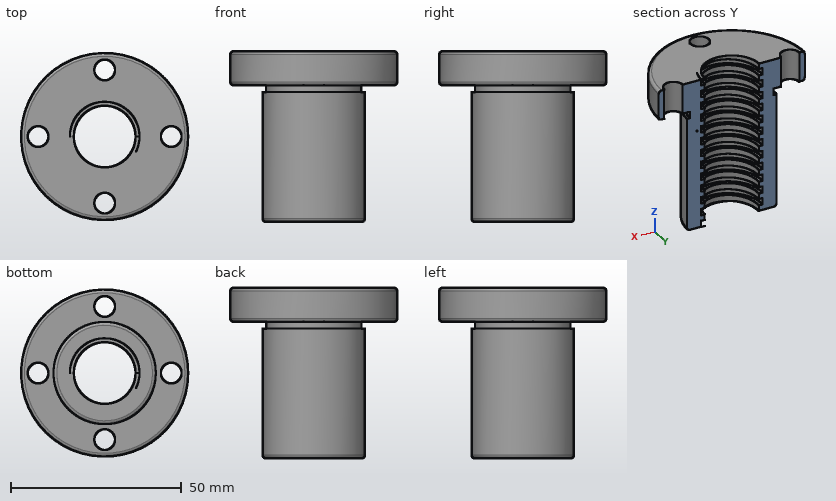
import cadquery as cq

total_height = 50.0
flange_diameter = 49.0
flange_thickness = 10.0
body_diameter = 30.0
neck_diameter = 28.0
neck_height = 2.0
edge_radius = 1.0

mount_hole_count = 4
mount_hole_diameter = 6.0
mount_circle_diameter = 39.0

bore_diameter = 18.0
thread_root_diameter = 20.4
thread_pitch = 4.0
groove_width = thread_pitch / 2
cutter_overlap = 0.5

flange_bottom = total_height - flange_thickness
body_height = flange_bottom - neck_height


def cylinder(diameter, height, bottom):
    return cq.Workplane("XY").workplane(offset=bottom).circle(diameter / 2).extrude(height)


def make_blank():
    """Body, relief neck and flange, with rounded body and flange rims."""
    body = cylinder(body_diameter, body_height, 0).faces("<Z").edges().fillet(edge_radius)
    neck = cylinder(neck_diameter, neck_height, body_height)
    flange = cylinder(flange_diameter, flange_thickness, flange_bottom).edges("%CIRCLE").fillet(edge_radius)
    return body.union(neck).union(flange)


def make_mount_holes():
    return (
        cq.Workplane("XY")
        .workplane(offset=flange_bottom)
        .polarArray(mount_circle_diameter / 2, 0, 360, mount_hole_count)
        .circle(mount_hole_diameter / 2)
        .extrude(flange_thickness)
    )


def make_thread_groove():
    """Helical cutter whose groove top meets the flange face on the +X side."""
    root_radius = thread_root_diameter / 2
    inner_radius = bore_diameter / 2 - cutter_overlap
    turns_below = int(total_height // thread_pitch) + 1
    start_z = total_height - groove_width - turns_below * thread_pitch
    helix_height = (turns_below + 1) * thread_pitch
    helix = cq.Wire.makeHelix(thread_pitch, helix_height, root_radius, center=cq.Vector(0, 0, start_z))
    profile = (
        cq.Workplane("XZ")
        .moveTo(inner_radius, start_z)
        .lineTo(root_radius, start_z)
        .lineTo(root_radius, start_z + groove_width)
        .lineTo(inner_radius, start_z + groove_width)
        .close()
    )
    return profile.sweep(cq.Workplane(obj=helix), isFrenet=True)


nut = make_blank().cut(make_mount_holes())
nut = nut.cut(cylinder(bore_diameter, total_height, 0))
result = nut.cut(make_thread_groove())